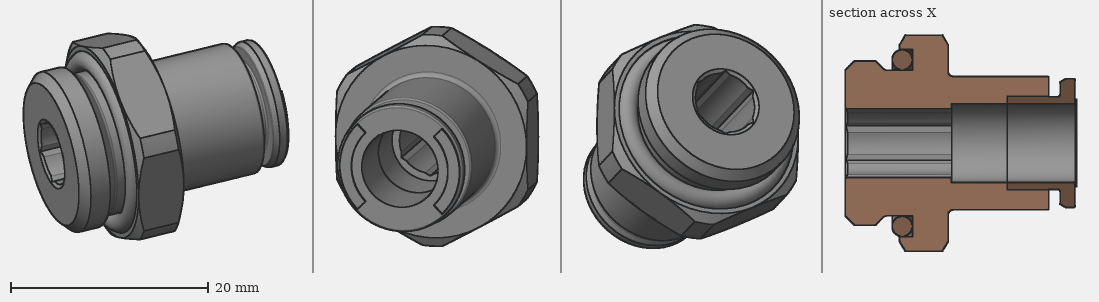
import cadquery as cq
import math

total_length = 23.5

thread_radius = 8.37
thread_chamfer = 0.95
groove_radius = 7.43
thread_end = 3.05
groove_fillet = 0.45

hex_flats = 20.0
hex_corner_radius = 11.0
hex_front = 5.5
hex_back = 10.45
hex_chamfer_angle = 30.0

body_radius = 6.8
body_end = 20.68
body_root_fillet = 0.5
edge_rounding = 0.19

ring_section_radius = 1.03
ring_front = 4.75
ring_center_radius = groove_radius + ring_section_radius
ring_center_y = ring_front + ring_section_radius
recess_radius = ring_center_radius + ring_section_radius
recess_floor = ring_center_y + ring_section_radius

socket_flats = 6.05
drill_radius = 3.22
mouth_radius = 3.62
mouth_angle = 30.0
tube_radius = 4.0
tube_stop = 10.8

neck_radius = 4.72
sleeve_inner_end = 16.45
rim_radius = 6.55
rim_front = 21.78
rim_cone_end = 22.4
rim_cone_angle = 30.0
rim_back = 23.34
rim_front_rounding = 0.1

pad_inner_radius = 5.05
pad_outer_radius = 6.27
pad_half_angle = 45.0


def cylinder(radius, start, end):
    """Solid cylinder on the Y axis from y = start to y = end."""
    return cq.Workplane("XZ", origin=(0, start, 0)).circle(radius).extrude(start - end)


def hexagon(flats, start, end):
    """Hexagonal prism on the Y axis with two flats facing +X and -X."""
    corner_diameter = flats / math.cos(math.radians(30))
    plane = cq.Workplane("XZ", origin=(0, start, 0)).transformed(rotate=(0, 0, 30))
    return plane.polygon(6, corner_diameter).extrude(start - end)


def revolve_profile(profile):
    """Turn a closed (radius, y) outline around the Y axis."""
    return profile.close().revolve(360, (0, 0, 0), (0, 1, 0))


def make_thread_end():
    """Chamfered thread blank and the relief groove that runs back into the hexagon."""
    face_radius = thread_radius - thread_chamfer
    groove_start = thread_end + thread_radius - groove_radius
    blank = revolve_profile(
        cq.Workplane("XY")
        .lineTo(face_radius, 0)
        .lineTo(thread_radius, thread_chamfer)
        .lineTo(thread_radius, thread_end)
        .lineTo(groove_radius, groove_start)
        .lineTo(groove_radius, hex_back)
        .lineTo(0, hex_back)
    )
    groove_corner = cq.selectors.NearestToPointSelector((0, groove_start, 0))
    return blank.edges(groove_corner).fillet(groove_fillet)


def make_hexagon():
    """Hexagon with turned corners, coned faces and the recess for the sealing ring."""
    face_radius = hex_flats / 2
    cone_length = (hex_corner_radius - face_radius) * math.tan(math.radians(hex_chamfer_angle))
    turned = revolve_profile(
        cq.Workplane("XY")
        .moveTo(0, hex_front)
        .lineTo(face_radius, hex_front)
        .lineTo(hex_corner_radius, hex_front + cone_length)
        .lineTo(hex_corner_radius, hex_back - cone_length)
        .lineTo(face_radius, hex_back)
        .lineTo(0, hex_back)
    )
    prism = hexagon(hex_flats, hex_front, hex_back)
    return prism.intersect(turned).cut(cylinder(recess_radius, hex_front, recess_floor))


def make_round_body():
    """Round rear body with a rounded end and a concave fillet onto the hexagon."""
    body = revolve_profile(
        cq.Workplane("XY")
        .moveTo(0, hex_back)
        .lineTo(body_radius + body_root_fillet, hex_back)
        .radiusArc((body_radius, hex_back + body_root_fillet), body_root_fillet)
        .lineTo(body_radius, body_end)
        .lineTo(0, body_end)
    )
    return body.faces(">Y").edges().fillet(edge_rounding)


def make_passage():
    """Everything removed from the housing along its axis."""
    apex_depth = mouth_radius * math.tan(math.radians(mouth_angle))
    countersink = revolve_profile(
        cq.Workplane("XY")
        .lineTo(mouth_radius, 0)
        .lineTo(0, apex_depth)
    )
    drill = cylinder(drill_radius, 0, tube_stop)
    hex_socket = hexagon(socket_flats, 0, tube_stop)
    tube_socket = cylinder(tube_radius, tube_stop, sleeve_inner_end)
    sleeve_seat = cylinder(neck_radius, sleeve_inner_end, body_end)
    return drill.union(hex_socket).union(countersink).union(tube_socket).union(sleeve_seat)


def make_housing():
    outside = make_thread_end().union(make_hexagon()).union(make_round_body())
    return outside.cut(make_passage())


def make_sealing_ring():
    section = cq.Workplane("XY").center(ring_center_radius, ring_center_y).circle(ring_section_radius)
    return section.revolve(360, (-ring_center_radius, 0, 0), (-ring_center_radius, 1, 0))


def make_sleeve_shell():
    """Tubular neck and the rim that is pressed to release the tube."""
    cone_depth = (rim_cone_end - rim_front) * math.tan(math.radians(rim_cone_angle))
    neck = cylinder(neck_radius, sleeve_inner_end, rim_front)
    rim = revolve_profile(
        cq.Workplane("XY")
        .moveTo(0, rim_front)
        .lineTo(rim_radius - cone_depth, rim_front)
        .lineTo(rim_radius, rim_cone_end)
        .lineTo(rim_radius, rim_back)
        .lineTo(0, rim_back)
    )
    rim = rim.faces(">Y").edges().fillet(edge_rounding)
    rim = rim.faces("<Y").edges().fillet(rim_front_rounding)
    joined = neck.union(rim)
    rim_underside = joined.faces(cq.selectors.NearestToPointSelector((0, rim_front, 0)))
    neck_corner = rim_underside.edges(cq.selectors.RadiusNthSelector(0))
    joined = neck_corner.fillet(edge_rounding)
    return joined.cut(cylinder(tube_radius, sleeve_inner_end, rim_back))


def make_label_pad(middle_angle):
    """Raised ring sector centred on the given angle from +X, standing on the rim's end face."""
    def at(radius, angle):
        turned = math.radians(middle_angle + angle)
        return (radius * math.cos(turned), radius * math.sin(turned))

    return (
        cq.Workplane("XZ", origin=(0, rim_back, 0))
        .moveTo(*at(pad_inner_radius, -pad_half_angle))
        .lineTo(*at(pad_outer_radius, -pad_half_angle))
        .threePointArc(at(pad_outer_radius, 0), at(pad_outer_radius, pad_half_angle))
        .lineTo(*at(pad_inner_radius, pad_half_angle))
        .threePointArc(at(pad_inner_radius, 0), at(pad_inner_radius, -pad_half_angle))
        .close()
        .extrude(rim_back - total_length)
    )


def make_release_sleeve():
    sleeve = make_sleeve_shell()
    for middle_angle in (0, 180):
        sleeve = sleeve.union(make_label_pad(middle_angle))
    return sleeve


housing = make_housing()
sealing_ring = make_sealing_ring()
release_sleeve = make_release_sleeve()

result = cq.Compound.makeCompound([housing.val(), sealing_ring.val(), release_sleeve.val()])